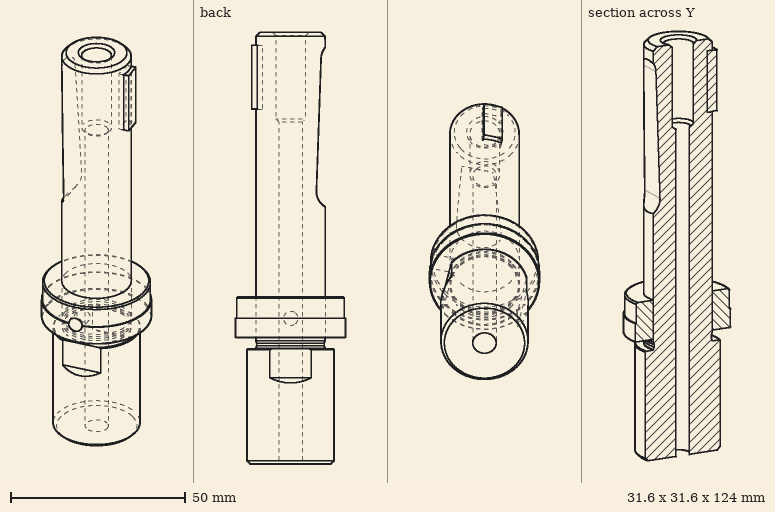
import cadquery as cq
import math

total_height = 124.0
chuck_top = 33.1
nut_bottom = 36.2
nut_step = 41.9
nut_top = 48.1

shank_diameter = 20.0
shank_chamfer = 1.2
groove_diameter = 19.5
groove_bottom = 34.0
groove_top = 34.7
groove_flank_height = 0.7
chuck_diameter = 25.0
chuck_bottom_chamfer = 1.0
chuck_top_chamfer = 0.2
wrench_flat_spacing = 22.1
wrench_flat_bottom = 24.8

nut_upper_diameter = 31.0
nut_lower_diameter = 31.6
nut_top_chamfer = 0.5
nut_bottom_chamfer = 0.2
spanner_hole_diameter = 4.1

bore_diameter = 6.7
thread_diameter = 8.5
thread_depth = 24.8
countersink_diameter = 10.4

flat_upper_z = 116.5
flat_lower_z = 78.4
flat_upper_x = -8.8
flat_tilt = 2.0
flat_end_radius = 5.0

key_bottom = 101.9
key_length = 18.4
key_width = 5.3
key_outer_x = 11.2
key_seat_x = 8.0


def cylinder(diameter, bottom, top):
    return cq.Workplane("XY", origin=(0, 0, bottom)).circle(diameter / 2).extrude(top - bottom)


def key_block():
    return (
        cq.Workplane("XY", origin=(0, 0, key_bottom))
        .center((key_seat_x + key_outer_x) / 2, 0)
        .rect(key_outer_x - key_seat_x, key_width)
        .extrude(key_length)
    )


def flat_cutter():
    """Milling volume: a tilted floor with a tangent arc rising out of each end."""
    tilt = math.radians(flat_tilt)
    flat_lower_x = flat_upper_x + (flat_upper_z - flat_lower_z) * math.tan(tilt)

    def arc_point(x, z, angle):
        """Point of an end arc; angle zero is the tangent point on the floor."""
        centre_x = x - flat_end_radius * math.cos(tilt)
        centre_z = z - flat_end_radius * math.sin(tilt)
        direction = tilt + math.radians(angle)
        return (
            centre_x + flat_end_radius * math.cos(direction),
            centre_z + flat_end_radius * math.sin(direction),
        )

    return (
        cq.Workplane("XZ")
        .moveTo(flat_lower_x, flat_lower_z)
        .lineTo(flat_upper_x, flat_upper_z)
        .threePointArc(arc_point(flat_upper_x, flat_upper_z, 45), arc_point(flat_upper_x, flat_upper_z, 90))
        .lineTo(*arc_point(flat_lower_x, flat_lower_z, -90))
        .threePointArc(arc_point(flat_lower_x, flat_lower_z, -45), (flat_lower_x, flat_lower_z))
        .close()
        .extrude(shank_diameter / 2, both=True)
    )


def wrench_flat_cutter(side):
    """Flat on the chuck end facing +Y or -Y (side 1 or -1), running out downward at 45 degrees."""
    flat_y = wrench_flat_spacing / 2
    clear_y = chuck_diameter
    profile = [
        (side * flat_y, chuck_top),
        (side * flat_y, wrench_flat_bottom),
        (side * clear_y, wrench_flat_bottom - (clear_y - flat_y)),
        (side * clear_y, chuck_top),
    ]
    return cq.Workplane("YZ").polyline(profile).close().extrude(chuck_diameter / 2, both=True)


def axial_hole_cutter():
    """Through bore, a wider thread hole from the top, and 45 degree cones at both ends of the thread."""
    bore_radius = bore_diameter / 2
    thread_radius = thread_diameter / 2
    mouth_radius = countersink_diameter / 2
    thread_bottom = total_height - thread_depth
    return (
        cq.Workplane("XZ")
        .polyline([
            (0, 0),
            (bore_radius, 0),
            (bore_radius, thread_bottom - (thread_radius - bore_radius)),
            (thread_radius, thread_bottom),
            (thread_radius, total_height - (mouth_radius - thread_radius)),
            (mouth_radius, total_height),
            (0, total_height),
        ])
        .close()
        .revolve(360, (0, 0), (0, 1))
    )


def groove_cutter():
    """Shallow ring groove with sloped flanks between the chuck end and the nut."""
    floor_radius = groove_diameter / 2
    rim_radius = shank_diameter / 2
    return (
        cq.Workplane("XZ")
        .polyline([
            (rim_radius, groove_bottom - groove_flank_height),
            (floor_radius, groove_bottom),
            (floor_radius, groove_top),
            (rim_radius, groove_top + groove_flank_height),
        ])
        .close()
        .revolve(360, (0, 0), (0, 1))
    )


def make_arbor():
    body = cylinder(chuck_diameter, 0, chuck_top)
    body = body.faces("<Z").chamfer(chuck_bottom_chamfer)
    body = body.faces(">Z").chamfer(chuck_top_chamfer)
    for side in (1, -1):
        body = body.cut(wrench_flat_cutter(side))

    body = body.union(
        cylinder(shank_diameter, chuck_top, total_height).faces(">Z").chamfer(shank_chamfer)
    )

    for cutter in (axial_hole_cutter(), groove_cutter(), flat_cutter(), key_block()):
        body = body.cut(cutter)
    return body


def make_nut():
    lower = cylinder(nut_lower_diameter, nut_bottom, nut_step).faces("<Z").chamfer(nut_bottom_chamfer)
    upper = cylinder(nut_upper_diameter, nut_step, nut_top).faces(">Z").chamfer(nut_top_chamfer)
    spanner_hole = (
        cq.Workplane("XZ", origin=(0, 0, nut_step))
        .circle(spanner_hole_diameter / 2)
        .extrude(nut_lower_diameter / 2)
    )
    shank_hole = cylinder(shank_diameter, nut_bottom, nut_top)
    return lower.union(upper).cut(shank_hole).cut(spanner_hole)


arbor = make_arbor()
nut = make_nut()
key = key_block()

result = cq.Compound.makeCompound([arbor.val(), nut.val(), key.val()])